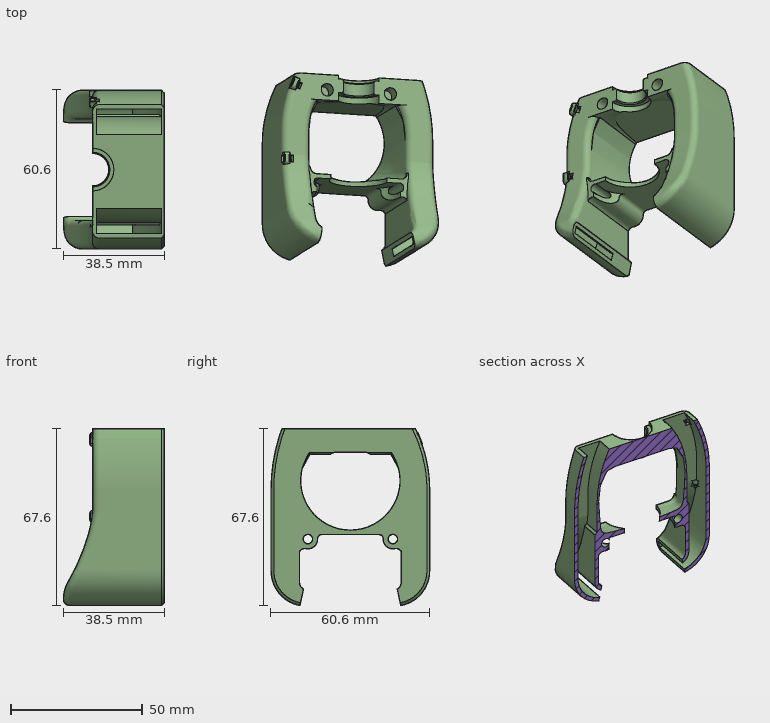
import cadquery as cq
import math


height = 67.55
depth = 27.4
hook_reach = 11.13
half_width = 30.29
inner_half_width = 19.35
edge_radius = 2.5
back_chamfer = 1.1
wall = 1.75
overrun = 5.0

side_top_z = 44.5
slope_top_z = 35.5
hook_center_z = 13.4
hook_radius = 13.7
hook_center_y = half_width - hook_radius

left_shoulder = (29.55, 53.0)
left_top_half_width = 24.8
right_shoulder = (27.4, 63.8)
right_top_half_width = 26.1

tip_y = 19.2
tip_lip_y = 17.85
tip_lip_z = 6.3
lip_center_z = 8.9
lip_radius = 3.0

bore_radius = 18.9
bore_z = 47.75
ceiling_z = 57.6
floor_top_z = 28.75
floor_corner_radius = 2.4
floor_thickness = 1.7
floor_bottom_z = floor_top_z - floor_thickness
inner_bend_y = 18.5
inner_bend_z = 52.0
inner_end_y = 15.5
inner_end_z = 58.5
floor_opening_radius = 11.25
lining_overlap = 0.6

seat_radius = 8.12
seat_throat_radius = 6.15
seat_chamfer = 0.45
seat_top_depth = 1.35
seat_bottom_z = 60.8

front_hole_diameter = 4.8
front_hole_depth = 6.0
front_hole_y = 12.65
front_hole_z = 61.6

lug_hole_diameter = 3.5
lug_y = 16.2
lug_z = 25.4
lug_radius = 3.75
lug_blend = 1.4
lug_foot_z = 20.6
lug_overlap = 0.5
lug_relief_radius = 16.7
lug_relief_depth = 8.0

channel_front_wall = 1.55
channel_length = 24.8
channel_mouth_width = 9.6
channel_side_inner_y = 20.2
channel_ledge_z = 31.5
channel_ledge_drop = 0.9

peg_places = [(26.65, 63.85, 22.0), (half_width - 0.2, 34.0, 0.0)]
peg_projection = 1.1
peg_root_length = 4.8
peg_tip_length = 2.4
peg_width = 2.3
peg_embed = 1.5
peg_tunnel_width = 1.6
peg_tunnel_height = 2.6
peg_tunnel_inner_radius = 1.1
peg_tunnel_front_gap = 0.8


def tangent_arc_mid(start, end):
    """Middle point of the arc that leaves start along Z and ends at end."""
    sideways = end[0] - start[0]
    along = end[1] - start[1]
    radius = (sideways**2 + along**2) / (2 * abs(sideways))
    half_angle = math.asin(abs(along) / radius) / 2
    return (
        start[0] + math.copysign(radius * (1 - math.cos(half_angle)), sideways),
        start[1] + math.copysign(radius * math.sin(half_angle), along),
    )


def upper_arc_mid(side_top, shoulder, top):
    """Middle point of the arc from shoulder to top that continues the arc below the shoulder."""
    tangent = 2 * math.atan2(shoulder[0] - side_top[0], shoulder[1] - side_top[1])
    chord = math.atan2(top[0] - shoulder[0], top[1] - shoulder[1])
    half_chord = math.hypot(top[0] - shoulder[0], top[1] - shoulder[1]) / 2
    half_turn = (chord - tangent) / 2
    reach = half_chord / math.cos(half_turn)
    direction = tangent + half_turn
    return (shoulder[0] + reach * math.sin(direction), shoulder[1] + reach * math.cos(direction))


def hook_arc_point(radius, y):
    """Point of an arc around the hook center, below that center."""
    return (y, hook_center_z - math.sqrt(radius**2 - (y - hook_center_y)**2))


def lip_arc_point(radius, y):
    """Point of an arc around the lip center, below that center."""
    lip_center_y = inner_half_width - lip_radius
    return (y, lip_center_z - math.sqrt(radius**2 - (y - lip_center_y)**2))


def both_sides(solid):
    return solid.union(solid.mirror("XZ"))


def side_shape(half_span):
    """Side shape of the part: sloped front edge, pointed nose and flat back."""
    slope_bend = (-1.6, 27.3)
    nose_start = (-9.4, 9.0)
    nose_end = (-hook_reach, 2.5)
    return (
        cq.Workplane("XZ", origin=(0, half_span, 0))
        .moveTo(0, height + overrun)
        .lineTo(0, slope_top_z)
        .threePointArc((-0.6, 31.5), slope_bend)
        .tangentArcPoint(nose_start, relative=False)
        .threePointArc((-10.65, 6.0), nose_end)
        .lineTo(-hook_reach, -overrun)
        .lineTo(depth, -overrun)
        .lineTo(depth, height + overrun)
        .close()
        .extrude(2 * half_span)
    )


def arm_half(shoulder, top_half_width):
    """One arm with its half of the top, at positive Y, over the full depth."""
    side_top = (half_width, side_top_z)
    inner_side_top = (inner_half_width, side_top_z)
    inner_bend = (inner_bend_y, inner_bend_z)
    inner_end = (inner_end_y, inner_end_z)
    return (
        cq.Workplane("YZ", origin=(-hook_reach - overrun, 0, 0))
        .moveTo(tip_lip_y, tip_lip_z)
        .threePointArc(lip_arc_point(lip_radius, 18.75), (inner_half_width, lip_center_z))
        .lineTo(*inner_side_top)
        .threePointArc(tangent_arc_mid(inner_side_top, inner_bend), inner_bend)
        .threePointArc(upper_arc_mid(inner_side_top, inner_bend, inner_end), inner_end)
        .lineTo(0, inner_end_z)
        .lineTo(0, height)
        .lineTo(top_half_width, height)
        .threePointArc(upper_arc_mid(side_top, shoulder, (top_half_width, height)), shoulder)
        .threePointArc(tangent_arc_mid(side_top, shoulder), side_top)
        .lineTo(half_width, hook_center_z)
        .threePointArc(hook_arc_point(hook_radius, 26.5), (tip_y, 0))
        .close()
        .extrude(depth + hook_reach + overrun)
    )


def arm_frame():
    """Both arms joined at the top, trimmed to the side shape."""
    left = arm_half(left_shoulder, left_top_half_width)
    right = arm_half(right_shoulder, right_top_half_width).mirror("XZ")
    return left.union(right).intersect(side_shape(half_width + overrun))


def round_front_edges(frame):
    """Round both long front edges of each arm; the tip face stays sharp."""
    widest_edge = 6.0
    tolerance = 0.05

    def is_long_edge(edge):
        box = edge.BoundingBox()
        at_front = edge.Center().x < tolerance
        crosses_arm = box.ylen > widest_edge or box.zlen < tolerance
        half = max(abs(box.ymin), abs(box.ymax))
        on_tip = half < tip_y + tolerance and box.zmax < tip_lip_z + tolerance
        return at_front and not crosses_arm and not on_tip

    edges = [edge for edge in frame.edges().vals() if is_long_edge(edge)]
    return frame.newObject(edges).fillet(edge_radius)


def chamfer_back_edges(frame):
    """Bevel the back edges of the outer side and of the hooks."""
    tolerance = 0.05

    def is_outer_back_edge(edge):
        box = edge.BoundingBox()
        on_back = box.xmin > depth - tolerance
        crosses_arm = box.zlen < tolerance
        return on_back and not crosses_arm and abs(edge.Center().y) > inner_half_width + tolerance

    edges = [edge for edge in frame.edges().vals() if is_outer_back_edge(edge)]
    return frame.newObject(edges).chamfer(back_chamfer)


def cavity_corners():
    """Corners of the cavity section on the +Y side, from the floor up."""
    return [
        (inner_half_width - floor_corner_radius, floor_top_z),
        (inner_half_width, floor_top_z + floor_corner_radius),
        (inner_half_width, side_top_z),
        (inner_bend_y, inner_bend_z),
        (inner_end_y, ceiling_z),
    ]


def cavity_section(x):
    """Cross section of the cavity at its front: flat floor and ceiling, bent sides."""
    corner_inset = floor_corner_radius * (1 - math.sqrt(0.5))
    corner_mid = (inner_half_width - corner_inset, floor_top_z + corner_inset)
    floor_end, side_foot, side_top, bend, ceiling_end = cavity_corners()
    return (
        cq.Workplane("YZ", origin=(x, 0, 0))
        .moveTo(-floor_end[0], floor_end[1])
        .lineTo(*floor_end)
        .threePointArc(corner_mid, side_foot)
        .lineTo(*side_top)
        .lineTo(*bend)
        .lineTo(*ceiling_end)
        .lineTo(-ceiling_end[0], ceiling_end[1])
        .lineTo(-bend[0], bend[1])
        .lineTo(-side_top[0], side_top[1])
        .lineTo(-side_foot[0], side_foot[1])
        .threePointArc((-corner_mid[0], corner_mid[1]), (-floor_end[0], floor_end[1]))
        .close()
    )


def bore_section(x):
    """Round bore split into arcs that face the edges of the cavity section."""
    right_angles = [math.atan2(z - bore_z, y) for y, z in cavity_corners()]
    left_angles = [math.pi - angle for angle in reversed(right_angles)]
    angles = [-math.pi - right_angles[0]] + right_angles + left_angles

    def on_bore(angle):
        return (bore_radius * math.cos(angle), bore_z + bore_radius * math.sin(angle))

    section = cq.Workplane("YZ", origin=(x, 0, 0)).moveTo(*on_bore(angles[0]))
    for start, end in zip(angles, angles[1:]):
        section = section.threePointArc(on_bore((start + end) / 2), on_bore(end))
    return section.close()


def cavity_walls():
    """Floor, top bar and the lining that narrows from the front opening to the round bore."""
    block_width = 2 * (inner_half_width + lining_overlap)
    lining = cq.Workplane("XY", origin=(edge_radius, 0, floor_bottom_z)).box(
        depth - edge_radius, block_width, height - floor_bottom_z, centered=(False, True, False)
    )
    front_wire = cavity_section(edge_radius).wires().val()
    back_wire = bore_section(depth).wires().val()
    lining = lining.cut(cq.Workplane(cq.Solid.makeLoft([front_wire, back_wire], True)))
    sill = (
        cq.Workplane("XY", origin=(0, 0, floor_bottom_z))
        .box(edge_radius, block_width, floor_thickness + floor_corner_radius, centered=(False, True, False))
        .cut(cavity_section(0).extrude(edge_radius))
    )
    bar = cq.Workplane("XY", origin=(0, 0, ceiling_z)).box(
        edge_radius, block_width, height - ceiling_z, centered=(False, True, False)
    )
    return lining.union(sill).union(bar)


def lug_material():
    """Round bosses below the floor, blended into the floor and the arms."""
    top = floor_bottom_z + lug_overlap
    arm_y = inner_half_width + lug_overlap
    foot_angle = math.radians(-75)
    foot = (lug_y + lug_radius * math.cos(foot_angle), lug_z + lug_radius * math.sin(foot_angle))
    inner_y = lug_y - lug_radius
    blend_inset = 0.3 * lug_blend
    diagonal = lug_radius * math.sqrt(0.5)
    lug = (
        cq.Workplane("YZ")
        .moveTo(arm_y, top)
        .lineTo(inner_y - lug_blend, top)
        .lineTo(inner_y - lug_blend, floor_bottom_z)
        .threePointArc((inner_y - blend_inset, floor_bottom_z - blend_inset), (inner_y, lug_z))
        .threePointArc((lug_y - diagonal, lug_z - diagonal), foot)
        .threePointArc((18.6, 21.4), (inner_half_width, lug_foot_z))
        .lineTo(arm_y, lug_foot_z)
        .close()
        .extrude(depth)
    )
    return both_sides(lug)


def floor_cuts():
    """Half-round opening in the floor, the round relief that trims the lugs, and the lug holes."""
    base = cq.Workplane("XY", origin=(0, 0, floor_bottom_z))
    opening = base.circle(floor_opening_radius).extrude(bore_z - floor_bottom_z)
    relief = base.circle(lug_relief_radius).extrude(-lug_relief_depth)
    lug_holes = (
        cq.Workplane("YZ")
        .pushPoints([(lug_y, lug_z), (-lug_y, lug_z)])
        .circle(lug_hole_diameter / 2)
        .extrude(depth)
    )
    return opening.union(relief).union(lug_holes)


def seat_cut():
    """Half-round seat through the top bar, wider at both ends, on the front face."""
    top_ledge_z = height - seat_top_depth
    start_z = ceiling_z - 1.0
    return (
        cq.Workplane("XZ")
        .moveTo(0, start_z)
        .lineTo(seat_radius, start_z)
        .lineTo(seat_radius, seat_bottom_z)
        .lineTo(seat_throat_radius + seat_chamfer, seat_bottom_z)
        .lineTo(seat_throat_radius, seat_bottom_z + seat_chamfer)
        .lineTo(seat_throat_radius, top_ledge_z - seat_chamfer)
        .lineTo(seat_throat_radius + seat_chamfer, top_ledge_z)
        .lineTo(seat_radius, top_ledge_z)
        .lineTo(seat_radius, height)
        .lineTo(0, height)
        .close()
        .revolve(360, (0, 0, 0), (0, 1, 0))
    )


def front_holes():
    """Blind holes on both sides of the seat."""
    return (
        cq.Workplane("YZ")
        .pushPoints([(front_hole_y, front_hole_z), (-front_hole_y, front_hole_z)])
        .circle(front_hole_diameter / 2)
        .extrude(front_hole_depth)
    )


def channel_half(shoulder, top_half_width):
    """Hollow of one arm, at positive Y: open at the top and in the tip face of the hook."""
    outer_y = half_width - wall
    inner_y = inner_half_width + wall
    mouth_outer = (top_half_width - wall, height)
    mouth_inner = (mouth_outer[0] - channel_mouth_width, height)
    side_top = (outer_y, side_top_z)
    upper = (shoulder[0] - wall, shoulder[1])
    inner_side_top = (channel_side_inner_y, side_top_z)
    slot_y = tip_lip_y - 0.5
    across = (
        cq.Workplane("YZ", origin=(-hook_reach, 0, 0))
        .moveTo(*mouth_inner)
        .lineTo(*mouth_outer)
        .threePointArc(upper_arc_mid(side_top, upper, mouth_outer), upper)
        .threePointArc(tangent_arc_mid(side_top, upper), side_top)
        .lineTo(outer_y, hook_center_z)
        .threePointArc(hook_arc_point(hook_radius - wall, 25.0), hook_arc_point(hook_radius - wall, slot_y))
        .lineTo(*lip_arc_point(lip_radius + wall, slot_y))
        .threePointArc(lip_arc_point(lip_radius + wall, 20.0), (inner_y, lip_center_z))
        .lineTo(inner_y, channel_ledge_z - channel_ledge_drop)
        .lineTo(channel_side_inner_y, channel_ledge_z)
        .lineTo(*inner_side_top)
        .threePointArc(tangent_arc_mid(inner_side_top, mouth_inner), mouth_inner)
        .close()
        .extrude(depth + hook_reach)
    )
    front_limit = side_shape(half_width).translate((channel_front_wall, 0, 0))
    behind = front_limit.translate((channel_length, 0, 0))
    return across.intersect(front_limit).cut(behind)


def peg(side_y, center_z, lean):
    """Snap peg whose outer side follows the arm edge at (side_y, center_z), leaning by an angle."""
    root = peg_root_length / 2
    tip = peg_tip_length / 2
    shoulder_x = -0.7 * peg_projection
    shoulder_z = (root + tip) / 2 + 0.2
    body = (
        cq.Workplane("XZ")
        .moveTo(peg_embed, root)
        .lineTo(0, root)
        .threePointArc((shoulder_x, shoulder_z), (-peg_projection, tip))
        .lineTo(-peg_projection, -tip)
        .threePointArc((shoulder_x, -shoulder_z), (0, -root))
        .lineTo(peg_embed, -root)
        .close()
        .extrude(peg_width)
    )
    return body.rotate((0, 0, 0), (1, 0, 0), lean).translate((0, side_y, center_z))


def peg_tunnel(side_y, center_z, lean):
    """Curved tunnel that passes behind a peg, from the front face to the side."""
    outer_radius = peg_tunnel_inner_radius + peg_tunnel_width
    reach = outer_radius + peg_tunnel_front_gap
    span = 4 * outer_radius
    behind_front = (
        cq.Workplane("XY")
        .box(reach, span, span, centered=(False, True, True))
        .translate((-peg_tunnel_front_gap, 0, 0))
    )
    ring = (
        cq.Workplane("XY", origin=(0, -peg_tunnel_inner_radius, -peg_tunnel_height / 2))
        .circle(outer_radius)
        .circle(peg_tunnel_inner_radius)
        .extrude(peg_tunnel_height)
        .intersect(behind_front)
    )
    return ring.rotate((0, 0, 0), (1, 0, 0), lean).translate((0, side_y, center_z))


result = chamfer_back_edges(round_front_edges(arm_frame()))
result = result.union(cavity_walls()).union(lug_material())
result = result.cut(floor_cuts()).cut(seat_cut()).cut(front_holes())
result = result.cut(channel_half(left_shoulder, left_top_half_width))
result = result.cut(channel_half(right_shoulder, right_top_half_width).mirror("XZ"))
for place in peg_places:
    result = result.union(peg(*place)).cut(peg_tunnel(*place))